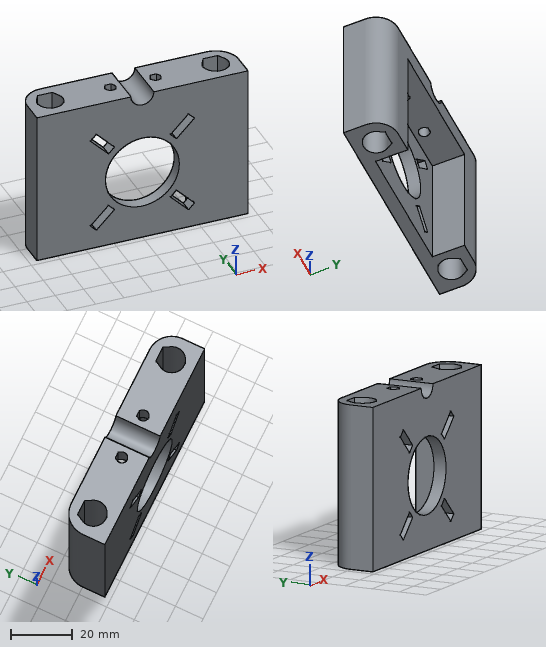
import cadquery as cq
import math

width = 74.5
depth = 16.0
height = 54.75
corner_radius = depth / 2

plate_thickness = 4.5
pocket_width = 43.95
bore_height = 24.95
bore_diameter = 26.0
pocket_top = bore_height + pocket_width / 2

slot_count = 4
slot_centre_radius = 20.0
slot_length = 9.0
slot_width = 3.0
slot_first_angle = 45.0

rod_spacing = 58.4
rod_radius = 4.5
screw_spacing = 15.95
screw_radius = 1.85
hole_y = depth / 2
teardrop_tangent_angle = 30.0
groove_radius = 4.0


def make_block():
    block = cq.Workplane("XY").box(width, depth, height, centered=(True, False, False))
    return block.edges("|Z and >Y").fillet(corner_radius)


def make_pocket():
    pocket_depth = depth - plate_thickness
    return (
        cq.Workplane("XY")
        .box(pocket_width, pocket_depth, pocket_top, centered=(True, False, False))
        .translate((0, plate_thickness, 0))
    )


def make_cross_cylinder(radius, z):
    """Cylinder along Y through the full depth, centred on X."""
    return cq.Workplane("XZ").center(0, z).circle(radius).extrude(-depth)


def make_slots():
    return (
        cq.Workplane("XZ")
        .center(0, bore_height)
        .polarArray(slot_centre_radius, slot_first_angle, 360, slot_count)
        .rect(slot_length, slot_width)
        .extrude(-plate_thickness)
    )


def make_teardrop(x, radius):
    """Vertical hole whose tangent sides meet a flat one radius behind its centre."""
    angle = math.radians(teardrop_tangent_angle)
    side_x = radius * math.cos(angle)
    side_y = radius * math.sin(angle)
    flat_half = radius * math.tan((math.pi / 2 - angle) / 2)
    return (
        cq.Workplane("XY")
        .center(x, hole_y)
        .moveTo(-side_x, side_y)
        .threePointArc((0, -radius), (side_x, side_y))
        .lineTo(flat_half, radius)
        .lineTo(-flat_half, radius)
        .close()
        .extrude(height)
    )


result = make_block().cut(make_pocket())
result = result.cut(make_cross_cylinder(bore_diameter / 2, bore_height))
result = result.cut(make_cross_cylinder(groove_radius, height))
result = result.cut(make_slots())
for spacing, radius in ((rod_spacing, rod_radius), (screw_spacing, screw_radius)):
    for side in (-1, 1):
        result = result.cut(make_teardrop(side * spacing / 2, radius))